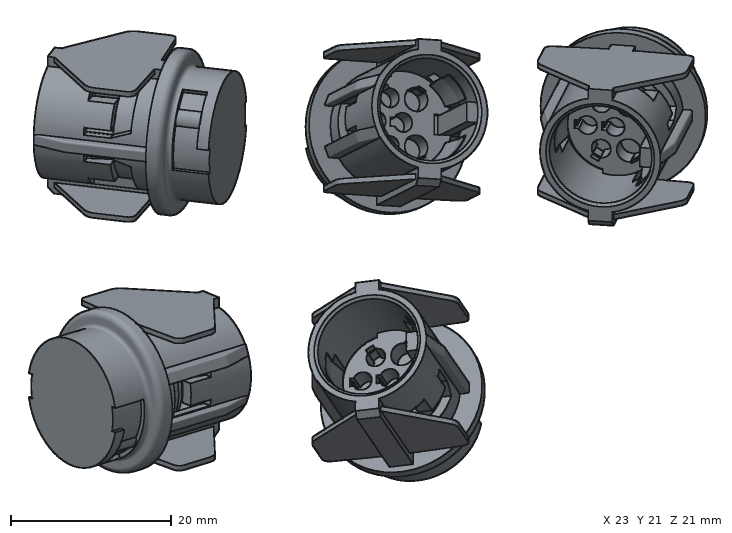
import cadquery as cq
import math


BARREL_LENGTH = 15.5
BARREL_RADIUS = 7.67
BORE_RADIUS = 6.5
MOUTH_CHAMFER = 0.4
MOUTH_CHAMFER_DEPTH = 0.3
MOUTH_X = -BARREL_LENGTH

FLANGE_RADIUS = 10.5
FLANGE_THICKNESS = 2.0
FLANGE_ROUND = 0.8
NECK_RADIUS = 8.4
NECK_FILLET = 0.5
NECK_END_X = 7.5

INSERT_FACE_X = -5.5
INSERT_LEDGE_RADIUS = 6.0
INSERT_LEDGE_START_Y = 1.58
INSERT_LEDGE_DEPTH = 1.0
CONTACT_CIRCLE_RADIUS = 3.5
CONTACT_RADIUS = 1.22
POWER_CONTACT_RADIUS = 1.52
CONTACT_DEPTH = 3.0
SIGNAL_ANGLES = (0, 60, -60)
POWER_ANGLES = (120, -120)
CONTACT_KEY_WIDTH = 1.1
CONTACT_KEY_REACH = 1.47
CONTACT_KEY_STEP_REACH = 1.66
CONTACT_KEY_STEP_DEPTH = 1.0

KEY_WIDTH = 2.56
KEY_TIP_Y = 5.0
KEY_START_X = MOUTH_X + MOUTH_CHAMFER_DEPTH
KEY_NOTCH_TIP_Y = 4.17
KEY_NOTCH_DEPTH = 1.0

WINDOW_START_X = -9.0
WINDOW_END_X = -2.9
SIDE_WINDOW_Y = -2.9
SIDE_WINDOW_LOW_Z = 1.4
SIDE_WINDOW_END_LOW_Z = 2.28
SIDE_FINGER_LOW_Z = 2.3
SIDE_FINGER_HIGH_Z = 5.25
BACK_WINDOW_HALF_WIDTH = 2.4
BACK_FINGER_HALF_WIDTH = 1.5
SIDE_FINGER_TOP_ANGLE = 54.0
FINGER_END_X = -5.55
TOOTH_END_X = -5.65
FINGER_RELIEF_START_X = -11.7
FINGER_RELIEF_RADIUS = 6.6
TOOTH_RADIUS = 6.0

RIB_RADIUS = 8.82
RIB_RAMP_LENGTH = 4.33
FRONT_RIB_HALF_WIDTH = 0.78
FRONT_RIB_ROUND = 0.3
BACK_RIB_LOW_Z = 2.54
BACK_RIB_HIGH_Z = 4.02
BACK_RIB_ANGLE = 22.2
BACK_RIB_ROUND = 0.19

POST_HALF_WIDTH = 1.54
PLATE_OUTER_Z = 8.83
PLATE_THICKNESS = 0.67
LOWER_POST_Z = -9.66
LOWER_POST_CHAMFER = 0.82
WING_HALF_SPAN = 9.51
WING_FRONT_ROOT_X = -14.61
WING_FRONT_TIP_X = -7.95
WING_REAR_TIP_X = -1.89
WING_REAR_ROOT_X = -1.55
WING_FRONT_RADIUS = 2.0
WING_REAR_RADIUS = 1.0

SLOT_START_X = 2.8
SLOT_REAR_X = 6.0
SLOT_FLOOR_RADIUS = 7.8
SLOT_ENTRY_HALF_WIDTH = 1.62
SLOT_END_ANGLE = 63.4
BUMP_ANGLE = 37.0
BUMP_HALF_ANGLE = 8.0
BUMP_RADIUS = 1.5


def box(x_range, y_range, z_range):
    """Box between the given limits on each axis."""
    size = [high - low for low, high in (x_range, y_range, z_range)]
    corner = (x_range[0], y_range[0], z_range[0])
    return cq.Workplane("XY").box(*size, centered=False).translate(corner)


def disc(radius, x_start, x_end):
    """Cylinder about the X axis."""
    return cq.Workplane("YZ").workplane(offset=x_start).circle(radius).extrude(x_end - x_start)


def ring(inner_radius, outer_radius, x_start, x_end):
    return disc(outer_radius, x_start, x_end).cut(disc(inner_radius, x_start, x_end))


def revolved(points):
    """Solid of revolution about the X axis from (x, radius) points."""
    return cq.Workplane("XY").polyline(points).close().revolve(360, (0, 0, 0), (1, 0, 0))


def mirrored_in_z(solid):
    return solid.union(solid.mirror("XY"))


def make_body():
    round_start_x = FLANGE_THICKNESS - FLANGE_ROUND
    round_start_radius = FLANGE_RADIUS - FLANGE_ROUND
    diagonal = math.sqrt(0.5)
    round_mid = (round_start_x + FLANGE_ROUND * diagonal, round_start_radius + FLANGE_ROUND * diagonal)
    fillet_x = FLANGE_THICKNESS + NECK_FILLET
    fillet_radius = NECK_RADIUS + NECK_FILLET
    fillet_mid = (fillet_x - NECK_FILLET * diagonal, fillet_radius - NECK_FILLET * diagonal)
    profile = (
        cq.Workplane("XY")
        .moveTo(MOUTH_X, 0)
        .lineTo(MOUTH_X, BARREL_RADIUS)
        .lineTo(0, BARREL_RADIUS)
        .lineTo(0, FLANGE_RADIUS)
        .lineTo(round_start_x, FLANGE_RADIUS)
        .threePointArc(round_mid, (FLANGE_THICKNESS, round_start_radius))
        .lineTo(FLANGE_THICKNESS, fillet_radius)
        .threePointArc(fillet_mid, (fillet_x, NECK_RADIUS))
        .lineTo(NECK_END_X, NECK_RADIUS)
        .lineTo(NECK_END_X, 0)
        .close()
    )
    return profile.revolve(360, (0, 0, 0), (1, 0, 0))


def make_bore():
    return revolved([
        (MOUTH_X, 0),
        (MOUTH_X, BORE_RADIUS + MOUTH_CHAMFER),
        (MOUTH_X + MOUTH_CHAMFER_DEPTH, BORE_RADIUS),
        (INSERT_FACE_X, BORE_RADIUS),
        (INSERT_FACE_X, 0),
    ])


def make_post(z_range):
    return box((MOUTH_X, 0), (-POST_HALF_WIDTH, POST_HALF_WIDTH), z_range)


def make_posts():
    upper = make_post((BORE_RADIUS + MOUTH_CHAMFER, PLATE_OUTER_Z))
    lower = make_post((LOWER_POST_Z, -BORE_RADIUS - MOUTH_CHAMFER))
    lower = lower.faces("<X").edges("<Z").chamfer(LOWER_POST_CHAMFER)
    return upper.union(lower)


def make_wing_plates():
    half_outline = [
        (WING_FRONT_ROOT_X, POST_HALF_WIDTH),
        (WING_FRONT_TIP_X, WING_HALF_SPAN),
        (WING_REAR_TIP_X, WING_HALF_SPAN),
        (WING_REAR_ROOT_X, POST_HALF_WIDTH),
    ]
    other_half = [(x, -y) for x, y in reversed(half_outline)]
    plate = (
        cq.Workplane("XY")
        .workplane(offset=PLATE_OUTER_Z - PLATE_THICKNESS)
        .polyline(half_outline + other_half)
        .close()
        .extrude(PLATE_THICKNESS)
    )
    for tip_x, radius in ((WING_FRONT_TIP_X, WING_FRONT_RADIUS), (WING_REAR_TIP_X, WING_REAR_RADIUS)):
        for tip_y in (-WING_HALF_SPAN, WING_HALF_SPAN):
            corner = cq.NearestToPointSelector((tip_x, tip_y, PLATE_OUTER_Z - PLATE_THICKNESS / 2))
            plate = plate.edges("|Z").edges(corner).fillet(radius)
    return mirrored_in_z(plate)


def make_rib_blade(half_width):
    """Square-edged rib on the -Y side that ramps up from the mouth."""
    inner_radius = BORE_RADIUS + MOUTH_CHAMFER
    profile = cq.Workplane("XY").polyline([
        (MOUTH_X, -inner_radius),
        (MOUTH_X, -BARREL_RADIUS),
        (MOUTH_X + RIB_RAMP_LENGTH, -RIB_RADIUS),
        (0, -RIB_RADIUS),
        (0, -inner_radius),
    ])
    return profile.close().extrude(half_width, both=True)


def round_rib(rib, ramp_rise, radius):
    """Round the long edges; ramp_rise is the change in Y along the ramp edges."""
    ramp_edges = cq.ParallelDirSelector(cq.Vector(RIB_RAMP_LENGTH, ramp_rise, 0))
    return rib.edges(cq.StringSyntaxSelector("|X") + ramp_edges).fillet(radius)


def make_ribs():
    """One rib at -Y and two at +Y, whose sides all lie parallel to the XY plane."""
    rise = RIB_RADIUS - BARREL_RADIUS
    front_rib = round_rib(make_rib_blade(FRONT_RIB_HALF_WIDTH), -rise, FRONT_RIB_ROUND)

    wide_blade = make_rib_blade(BACK_RIB_HIGH_Z).mirror("XZ")
    tilted_blade = wide_blade.rotate((0, 0, 0), (1, 0, 0), BACK_RIB_ANGLE)
    slab = box((MOUTH_X, 0), (0, FLANGE_RADIUS), (BACK_RIB_LOW_Z, BACK_RIB_HIGH_Z))
    back_rise = rise / math.cos(math.radians(BACK_RIB_ANGLE))
    back_rib = round_rib(tilted_blade.intersect(slab), back_rise, BACK_RIB_ROUND)
    back_rib = back_rib.cut(disc(BORE_RADIUS + MOUTH_CHAMFER, MOUTH_X, 0))
    return front_rib.union(mirrored_in_z(back_rib))


def make_side_window():
    """Opening at -Y, +Z: parallel sided over the finger, narrowing behind it."""
    far = FLANGE_RADIUS
    opening = (
        cq.Workplane("XZ", origin=(0, SIDE_WINDOW_Y, 0))
        .polyline([
            (WINDOW_START_X, SIDE_WINDOW_LOW_Z),
            (INSERT_FACE_X, SIDE_WINDOW_LOW_Z),
            (WINDOW_END_X, SIDE_WINDOW_END_LOW_Z),
            (WINDOW_END_X, far),
            (WINDOW_START_X, far),
        ])
        .close()
        .extrude(far)
    )
    return opening.intersect(ring(BORE_RADIUS, BARREL_RADIUS, WINDOW_START_X, WINDOW_END_X))


def make_back_window():
    half_width = BACK_WINDOW_HALF_WIDTH
    opening = box((WINDOW_START_X, WINDOW_END_X), (0, BARREL_RADIUS), (-half_width, half_width))
    return opening.intersect(ring(BORE_RADIUS, BARREL_RADIUS, WINDOW_START_X, WINDOW_END_X))


def make_finger_sections():
    """Prisms along X that bound the two side fingers and the back finger."""
    x_range = (FINGER_RELIEF_START_X, FINGER_END_X)
    slope = math.tan(math.radians(SIDE_FINGER_TOP_ANGLE))
    side_section = (
        cq.Workplane("YZ")
        .workplane(offset=FINGER_RELIEF_START_X)
        .polyline([
            (-BARREL_RADIUS, SIDE_FINGER_LOW_Z),
            (-SIDE_FINGER_LOW_Z / slope, SIDE_FINGER_LOW_Z),
            (-SIDE_FINGER_HIGH_Z / slope, SIDE_FINGER_HIGH_Z),
            (-BARREL_RADIUS, SIDE_FINGER_HIGH_Z),
        ])
        .close()
        .extrude(FINGER_END_X - FINGER_RELIEF_START_X)
    )
    half_width = BACK_FINGER_HALF_WIDTH
    back_section = box(x_range, (0, BARREL_RADIUS), (-half_width, half_width))
    return mirrored_in_z(side_section).union(back_section)


def make_finger_relief():
    """Thinned barrel wall at the finger roots."""
    relief_ring = ring(BORE_RADIUS, FINGER_RELIEF_RADIUS, FINGER_RELIEF_START_X, WINDOW_START_X)
    return relief_ring.intersect(make_finger_sections())


def make_fingers():
    """Latch fingers reaching into the windows, each with an inward ramp at its tip."""
    finger_ring = revolved([
        (WINDOW_START_X, BARREL_RADIUS),
        (WINDOW_START_X, FINGER_RELIEF_RADIUS),
        (TOOTH_END_X, TOOTH_RADIUS),
        (FINGER_END_X, BORE_RADIUS),
        (FINGER_END_X, BARREL_RADIUS),
    ])
    return finger_ring.intersect(make_finger_sections())


def make_contact_cavity(radius):
    """Blind round cavity on the X axis with a stepped keyway toward +Y."""
    half_width = CONTACT_KEY_WIDTH / 2
    cavity = disc(radius, INSERT_FACE_X, INSERT_FACE_X + CONTACT_DEPTH)
    for reach, depth in (
        (CONTACT_KEY_REACH, CONTACT_DEPTH),
        (CONTACT_KEY_STEP_REACH, CONTACT_KEY_STEP_DEPTH),
    ):
        x_range = (INSERT_FACE_X, INSERT_FACE_X + depth)
        cavity = cavity.union(box(x_range, (0, reach), (-half_width, half_width)))
    return cavity


def make_contact_cavities():
    cavities = make_contact_cavity(CONTACT_RADIUS)
    for angles, radius in ((SIGNAL_ANGLES, CONTACT_RADIUS), (POWER_ANGLES, POWER_CONTACT_RADIUS)):
        offset_cavity = make_contact_cavity(radius).translate((0, CONTACT_CIRCLE_RADIUS, 0))
        for angle in angles:
            cavities = cavities.union(offset_cavity.rotate((0, 0, 0), (1, 0, 0), angle))
    return cavities


def make_insert_ledge():
    """Shallow step around the +Y edge of the insert face."""
    x_range = (INSERT_FACE_X, INSERT_FACE_X + INSERT_LEDGE_DEPTH)
    step = ring(INSERT_LEDGE_RADIUS, BORE_RADIUS, *x_range)
    return step.intersect(box(x_range, (INSERT_LEDGE_START_Y, BORE_RADIUS), (-BORE_RADIUS, BORE_RADIUS)))


def make_key(tip_y, x_range):
    """Block from tip_y out to the bore wall on the -Y side."""
    block = box(x_range, (-BARREL_RADIUS, -tip_y), (-KEY_WIDTH / 2, KEY_WIDTH / 2))
    return block.intersect(disc(BORE_RADIUS, *x_range))


def make_bayonet_slot():
    """L-shaped slot on the -Y side with a locking bump on its floor."""
    reach = 2 * NECK_RADIUS
    end_angle = math.radians(SLOT_END_ANGLE)
    sector = (
        cq.Workplane("YZ")
        .workplane(offset=SLOT_START_X)
        .polyline([
            (0, 0),
            (0, -SLOT_ENTRY_HALF_WIDTH),
            (-reach, -SLOT_ENTRY_HALF_WIDTH),
            (-reach * math.cos(end_angle), reach * math.sin(end_angle)),
        ])
        .close()
        .extrude(SLOT_REAR_X - SLOT_START_X)
    )
    entry = box(
        (SLOT_START_X, NECK_END_X),
        (-NECK_RADIUS, 0),
        (-SLOT_ENTRY_HALF_WIDTH, SLOT_ENTRY_HALF_WIDTH),
    )
    half_angle = math.radians(BUMP_HALF_ANGLE)
    half_chord = SLOT_FLOOR_RADIUS * math.sin(half_angle)
    bump_centre = SLOT_FLOOR_RADIUS * math.cos(half_angle) - math.sqrt(BUMP_RADIUS**2 - half_chord**2)
    bump = (
        disc(BUMP_RADIUS, SLOT_START_X, SLOT_REAR_X)
        .translate((0, -bump_centre, 0))
        .rotate((0, 0, 0), (1, 0, 0), -BUMP_ANGLE)
    )
    slot_ring = ring(SLOT_FLOOR_RADIUS, NECK_RADIUS, SLOT_START_X, NECK_END_X)
    return sector.union(entry).intersect(slot_ring).cut(bump)


def make_part():
    part = make_body().union(make_posts()).union(make_wing_plates()).union(make_ribs())
    part = part.cut(make_bore())
    part = part.union(make_key(KEY_TIP_Y, (KEY_START_X, INSERT_FACE_X)))
    part = part.cut(mirrored_in_z(make_side_window())).cut(make_back_window())
    part = part.cut(make_finger_relief()).union(make_fingers())

    notch_x_range = (INSERT_FACE_X, INSERT_FACE_X + KEY_NOTCH_DEPTH)
    notch = make_key(KEY_NOTCH_TIP_Y, notch_x_range).cut(make_key(KEY_TIP_Y, notch_x_range))
    part = part.cut(notch).cut(make_insert_ledge()).cut(make_contact_cavities())

    slot = make_bayonet_slot()
    return part.cut(slot).cut(slot.rotate((0, 0, 0), (1, 0, 0), 180))


result = make_part()